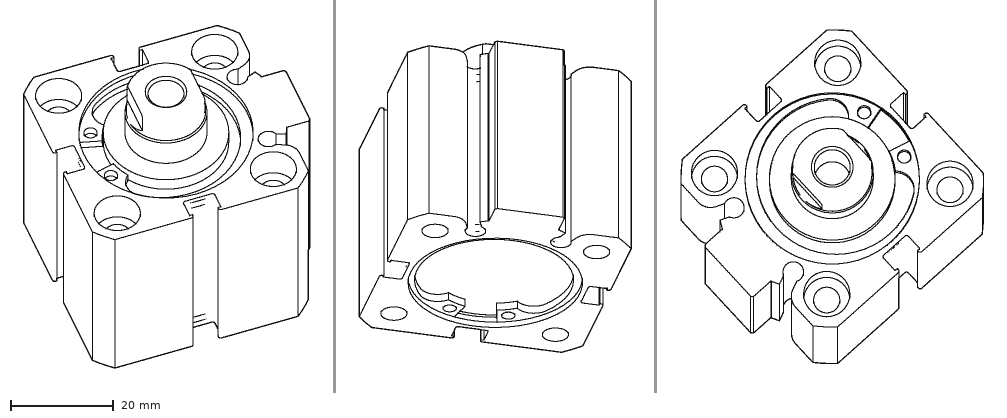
import cadquery as cq
import math

WIDTH = 45.0
HALF = WIDTH / 2
HOUSING_HEIGHT = 38.0
TOTAL_HEIGHT = 50.0
CORNER_RADIUS = 29.5

RAIL_HALF_WIDTH = 7.0
RAIL_BACK = 27.5
RAIL_CORNER = 0.4
RAIL_NECK_Y = 22.6
RAIL_LIP_X = 8.6
RAIL_LIP_Y = 21.75

GROOVE_X = 8.6
GROOVE_Y = 18.1
GROOVE_RADIUS = 2.0
GROOVE_HALF_OPENING = 1.4
GROOVE_TILT = 22.5
SHOULDER_RADIUS = 3.25

SLOT_FLOOR = 18.0
SLOT_HALF_WIDTH = 3.25
SLOT_HALF_MOUTH = 2.65
SLOT_LIP = 0.75
SLOT_FLOOR_FILLET = 0.5
SLOT_MOUTH_FILLET = 0.5

HOLE_OFFSET = 16.25
HOLE_DIAMETER = 5.1
COUNTERBORE_DIAMETER = 9.0
COUNTERBORE_DEPTH = 6.2

BORE_RADIUS = 17.0
RING_RADIUS = 17.85
RING_THICKNESS = 1.6
RING_INSET = 1.2
COVER_INSET = RING_INSET + RING_THICKNESS
COVER_THICKNESS = 5.0
BOSS_RADIUS = 12.25

RING_INNER_RADIUS = 15.5
RING_INNER_Y = -1.0
RING_TWIST = -0.8
LUG_INNER_RADIUS = 12.45
LUG_GAP_ANGLE = 14.6
LUG_HOLE_ANGLE = 23.5
LUG_HOLE_PITCH_RADIUS = 14.75
LUG_HOLE_DIAMETER = 2.6
LOBE_RADIUS = 3.6
LOBE_ANGLE = 54.0

ROD_RADIUS = 8.0
ROD_TIP_RADIUS = 7.75
ROD_STEP_BOTTOM = 44.0
ROD_STEP_TOP = 44.45
ROD_TOP_FILLET = 0.5
FLAT_HALF_WIDTH = 6.5
FLAT_BOTTOM = 45.65
TAP_RADIUS = 3.5
TAP_MOUTH_RADIUS = 4.05
TAP_DEPTH = 13.0
TAP_TIP_ANGLE = 118.0


def polar(radius, degrees_from_front, center_y=0.0):
    """Point at an angle from the -Y direction, turning toward +X."""
    angle = math.radians(degrees_from_front)
    return radius * math.sin(angle), center_y - radius * math.cos(angle)


def mirrored(point):
    return -point[0], point[1]


def cylinder(radius, bottom, height):
    return cq.Workplane("XY").workplane(offset=bottom).circle(radius).extrude(height)


def t_slot():
    """T-slot cutter for the -Y face."""
    depth = HALF - SLOT_FLOOR - SLOT_LIP
    channel = (
        cq.Workplane("XY")
        .center(0, -SLOT_FLOOR - depth / 2)
        .rect(2 * SLOT_HALF_WIDTH, depth)
        .extrude(HOUSING_HEIGHT)
        .edges("|Z and >Y")
        .fillet(SLOT_FLOOR_FILLET)
    )
    flare = SLOT_HALF_MOUTH + SLOT_MOUTH_FILLET
    bend = SLOT_MOUTH_FILLET * (1 - math.sqrt(0.5))
    mouth_start = -HALF + SLOT_MOUTH_FILLET
    mouth = (
        cq.Workplane("XY")
        .moveTo(-SLOT_HALF_MOUTH, -HALF + SLOT_LIP)
        .lineTo(SLOT_HALF_MOUTH, -HALF + SLOT_LIP)
        .lineTo(SLOT_HALF_MOUTH, mouth_start)
        .threePointArc((SLOT_HALF_MOUTH + bend, -HALF + bend), (flare, -HALF))
        .lineTo(-flare, -HALF)
        .threePointArc((-SLOT_HALF_MOUTH - bend, -HALF + bend), (-SLOT_HALF_MOUTH, mouth_start))
        .close()
        .extrude(HOUSING_HEIGHT)
    )
    return channel.union(mouth)


def rail_gap():
    """Cutter for the space between the +X side of the rail and the shoulder beside it."""
    tilt = math.radians(GROOVE_TILT)
    along = (math.sin(tilt), math.cos(tilt))
    across = (math.cos(tilt), -math.sin(tilt))

    def groove_point(sideways, forward):
        x = GROOVE_X + sideways * across[0] + forward * along[0]
        y = GROOVE_Y + sideways * across[1] + forward * along[1]
        return x, y

    wall_x, wall_y = groove_point(GROOVE_HALF_OPENING, 0)
    shoulder_x = wall_x + (HALF - wall_y) * math.tan(tilt)
    tangent_length = SHOULDER_RADIUS * math.tan((math.pi / 2 - tilt) / 2)
    arc_start = (shoulder_x - tangent_length * along[0], HALF - tangent_length * along[1])
    arc_end = (shoulder_x + tangent_length, HALF)
    arc_center = (arc_end[0], HALF - SHOULDER_RADIUS)
    middle_angle = (math.pi / 2 + math.pi - tilt) / 2
    arc_middle = (
        arc_center[0] + SHOULDER_RADIUS * math.cos(middle_angle),
        arc_center[1] + SHOULDER_RADIUS * math.sin(middle_angle),
    )
    opening = (
        cq.Workplane("XY")
        .moveTo(*groove_point(-GROOVE_HALF_OPENING, 0))
        .lineTo(RAIL_LIP_X, RAIL_LIP_Y)
        .lineTo(RAIL_HALF_WIDTH, RAIL_NECK_Y)
        .lineTo(RAIL_HALF_WIDTH, RAIL_BACK)
        .lineTo(arc_end[0], RAIL_BACK)
        .lineTo(*arc_end)
        .threePointArc(arc_middle, arc_start)
        .lineTo(wall_x, wall_y)
        .close()
        .extrude(HOUSING_HEIGHT)
    )
    groove = cq.Workplane("XY").center(GROOVE_X, GROOVE_Y).circle(GROOVE_RADIUS).extrude(HOUSING_HEIGHT)
    return opening.union(groove)


def make_housing():
    block = cq.Workplane("XY").rect(WIDTH, WIDTH).extrude(HOUSING_HEIGHT)
    block = block.intersect(cylinder(CORNER_RADIUS, 0, HOUSING_HEIGHT))
    rail = (
        cq.Workplane("XY")
        .center(0, RAIL_BACK / 2)
        .rect(2 * RAIL_HALF_WIDTH, RAIL_BACK)
        .extrude(HOUSING_HEIGHT)
        .edges("|Z and >Y")
        .chamfer(RAIL_CORNER)
    )
    housing = block.union(rail)
    gap = rail_gap()
    housing = housing.cut(gap).cut(gap.mirror("YZ"))
    for angle in (-90, 0, 90):
        housing = housing.cut(t_slot().rotate((0, 0, 0), (0, 0, 1), angle))
    housing = (
        housing.faces(">Z")
        .workplane(origin=(0, 0, HOUSING_HEIGHT))
        .rect(2 * HOLE_OFFSET, 2 * HOLE_OFFSET, forConstruction=True)
        .vertices()
        .cboreHole(HOLE_DIAMETER, COUNTERBORE_DIAMETER, COUNTERBORE_DEPTH)
    )
    housing = housing.cut(cylinder(BORE_RADIUS, 0, HOUSING_HEIGHT))
    for bottom in (RING_INSET, HOUSING_HEIGHT - COVER_INSET):
        housing = housing.cut(cylinder(RING_RADIUS, bottom, RING_THICKNESS))
    return housing


def make_retaining_ring():
    """Open ring with two lugs beside its gap, standing on Z = 0."""
    lobe_center = polar(RING_INNER_RADIUS - LOBE_RADIUS, LOBE_ANGLE, RING_INNER_Y)
    lobe_distance = math.hypot(*lobe_center)
    lobe_direction = math.degrees(math.atan2(lobe_center[0], -lobe_center[1]))
    spread = math.acos(
        (lobe_distance**2 + LUG_INNER_RADIUS**2 - LOBE_RADIUS**2) / (2 * lobe_distance * LUG_INNER_RADIUS)
    )
    lug_angle = lobe_direction - math.degrees(spread)

    gap_outer = polar(RING_RADIUS, LUG_GAP_ANGLE)
    gap_inner = polar(LUG_INNER_RADIUS, LUG_GAP_ANGLE)
    lug_middle = polar(LUG_INNER_RADIUS, (LUG_GAP_ANGLE + lug_angle) / 2)
    lug_end = polar(LUG_INNER_RADIUS, lug_angle)
    lobe_bottom = (lobe_center[0], lobe_center[1] - LOBE_RADIUS)
    lobe_end = polar(RING_INNER_RADIUS, LOBE_ANGLE, RING_INNER_Y)
    ring = (
        cq.Workplane("XY")
        .moveTo(*gap_outer)
        .lineTo(*gap_inner)
        .threePointArc(lug_middle, lug_end)
        .threePointArc(lobe_bottom, lobe_end)
        .threePointArc((0, RING_INNER_Y + RING_INNER_RADIUS), mirrored(lobe_end))
        .threePointArc(mirrored(lobe_bottom), mirrored(lug_end))
        .threePointArc(mirrored(lug_middle), mirrored(gap_inner))
        .lineTo(*mirrored(gap_outer))
        .threePointArc((0, RING_RADIUS), gap_outer)
        .close()
        .extrude(RING_THICKNESS)
    )
    hole = polar(LUG_HOLE_PITCH_RADIUS, LUG_HOLE_ANGLE)
    holes = (
        cq.Workplane("XY")
        .pushPoints([hole, mirrored(hole)])
        .circle(LUG_HOLE_DIAMETER / 2)
        .extrude(RING_THICKNESS)
    )
    return ring.cut(holes).rotate((0, 0, 0), (0, 0, 1), RING_TWIST)


def make_rod_cover():
    flange_top = HOUSING_HEIGHT - COVER_INSET
    flange = cylinder(BORE_RADIUS, flange_top - COVER_THICKNESS, COVER_THICKNESS)
    boss = cylinder(BOSS_RADIUS, flange_top, COVER_INSET)
    return flange.union(boss).cut(cylinder(ROD_RADIUS, 0, HOUSING_HEIGHT))


def make_head_cover():
    return cylinder(BORE_RADIUS, COVER_INSET, COVER_THICKNESS)


def wrench_flat():
    """Cutter for the +Y wrench flat, with a 45 degree run-out at its lower end."""
    reach = ROD_RADIUS - FLAT_HALF_WIDTH
    return (
        cq.Workplane("YZ")
        .moveTo(FLAT_HALF_WIDTH, TOTAL_HEIGHT)
        .lineTo(FLAT_HALF_WIDTH, FLAT_BOTTOM)
        .lineTo(ROD_RADIUS, FLAT_BOTTOM - reach)
        .lineTo(ROD_RADIUS, TOTAL_HEIGHT)
        .close()
        .extrude(ROD_RADIUS, both=True)
    )


def tapped_hole():
    """Drilled hole with a chamfered mouth and a conical tip."""
    mouth_depth = TAP_MOUTH_RADIUS - TAP_RADIUS
    tip_length = TAP_RADIUS / math.tan(math.radians(TAP_TIP_ANGLE / 2))
    drill_bottom = TOTAL_HEIGHT - TAP_DEPTH
    return (
        cq.Workplane("XZ")
        .moveTo(0, TOTAL_HEIGHT)
        .lineTo(TAP_MOUTH_RADIUS, TOTAL_HEIGHT)
        .lineTo(TAP_RADIUS, TOTAL_HEIGHT - mouth_depth)
        .lineTo(TAP_RADIUS, drill_bottom)
        .lineTo(0, drill_bottom - tip_length)
        .close()
        .revolve(360, (0, 0, 0), (0, 1, 0))
    )


def make_rod():
    """Rod standing on the head cover, stepped in slightly at its tip."""
    rod = (
        cq.Workplane("XZ")
        .moveTo(0, COVER_INSET + COVER_THICKNESS)
        .lineTo(ROD_RADIUS, COVER_INSET + COVER_THICKNESS)
        .lineTo(ROD_RADIUS, ROD_STEP_BOTTOM)
        .lineTo(ROD_TIP_RADIUS, ROD_STEP_TOP)
        .lineTo(ROD_TIP_RADIUS, TOTAL_HEIGHT)
        .lineTo(0, TOTAL_HEIGHT)
        .close()
        .revolve(360, (0, 0, 0), (0, 1, 0))
        .faces(">Z")
        .edges()
        .fillet(ROD_TOP_FILLET)
    )
    flat = wrench_flat()
    return rod.cut(flat).cut(flat.mirror("XZ")).cut(tapped_hole())


housing = make_housing()
rod_cover = make_rod_cover()
head_cover = make_head_cover()
rod = make_rod()
retaining_rings = [
    make_retaining_ring().translate((0, 0, bottom))
    for bottom in (RING_INSET, HOUSING_HEIGHT - COVER_INSET)
]

result = cq.Compound.makeCompound(
    [housing.solids().val(), rod_cover.val(), head_cover.val(), rod.val()]
    + [ring.val() for ring in retaining_rings]
)